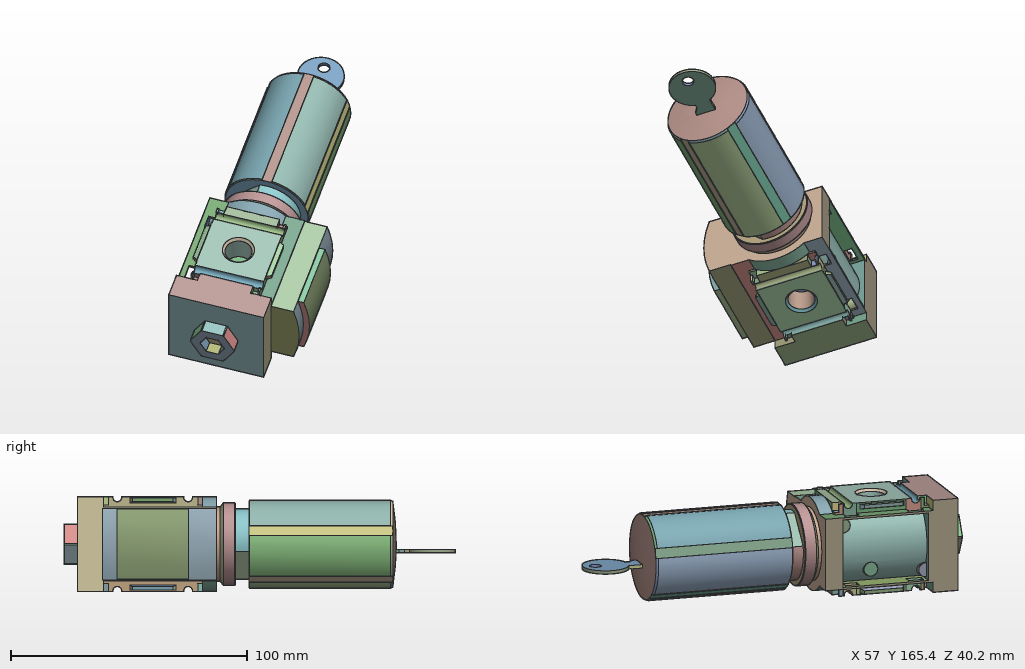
import cadquery as cq
import math


PLUG_LENGTH = 5.6
BLOCK_TOP = 16.7
PLATE_TOP = 58.5
BODY_TOP = 64.5
CONE_BOTTOM = 66.0
COLLAR_BOTTOM = 67.3
COLLAR_TOP = 72.5
KNOB_BOTTOM = 78.0
KNOB_TOP = 139.0
TOTAL_LENGTH = 165.4

BODY_WIDTH = 42.0
BODY_HEIGHT = 40.2
SLAB_HEIGHT = 31.3
PLATE_WIDTH = 30.5
HALF_WIDTH = BODY_WIDTH / 2
HALF_HEIGHT = BODY_HEIGHT / 2
HALF_SLAB = SLAB_HEIGHT / 2
HALF_PLATE = PLATE_WIDTH / 2

CHANNEL_WIDTH = 3.6
CHANNEL_DEPTH = 2.2
CHANNEL_PLACES = (22.5, 52.5)
PORT_PLACE = 37.5
PORT_DIAMETER = 11.4
PORT_MOUTH_DIAMETER = 13.5
PORT_DEPTH = 11.5
PORT_CHAMFER = (PORT_MOUTH_DIAMETER - PORT_DIAMETER) / 2

CORNER_LENGTH = 4.1
CORNER_WIDTH = 3.5
CORNER_DEPTH = 3.5
POST_WIDTH = 0.8
POST_LENGTH = 2.2

LIP_BASE_LENGTH = 19.5
LIP_TIP_LENGTH = 17.2
LIP_REACH = 2.2
LIP_DROP = 0.7
LIP_TIP_THICKNESS = 1.5
LIP_BASE_THICKNESS = 2.2

WINDOW_BOTTOM = 18.7
WINDOW_TOP = 56.7
WINDOW_HEIGHT = 29.5
BOWL_RADIUS = 18.7
PIN_DIAMETER = 6.1
PIN_FACE_X = -17.9
PIN_PLACES = ((55.5, 11.2), (43.3, -8.6), (19.0, -10.8))
LEDGE_SLOTS = ((20.2, 26.8), (48.8, 54.7))
SLOT_OUTER_X = -18.5
SLOT_RELIEF = 0.2

GAUGE_BOTTOM = 16.2
GAUGE_HEIGHT = 30.3
GAUGE_SHOULDER_X = 31.0
GAUGE_BULGE = 2.5
GLASS_LENGTH = 30.3
GLASS_HEIGHT = 29.6
GLASS_SHOULDER_X = 33.5
GLASS_CROWN_X = 36.0

PLUG_FLATS = 17.0
PLUG_ROUND_DIAMETER = 19.4
SOCKET_FLATS = 9.3
SOCKET_DEPTH = 5.0

BASE_DIAMETER = 31.6
COLLAR_DIAMETER = 35.0
COLLAR_CHAMFER = 0.3
NECK_DIAMETER = 30.1
NECK_FLATS = 25.1
NECK_FLAT_ANGLE = 45

KNOB_DIAMETER = 37.4
KNOB_RIM_CHAMFER = 0.5
KNOB_BOTTOM_BEVEL = 0.3
KNOB_TOP_BEVEL = 1.0
DOME_RISE = 1.5
GROOVE_COUNT = 5
GROOVE_WIDTH = 4.3
GROOVE_DEPTH = 0.5
KEY_Z = -3.0
KEY_THICKNESS = 1.5
KEY_BOW_RADIUS = 10.0
KEY_HOLE_DIAMETER = 5.0
KEY_HOLE_PLACE = 160.0
SHANK_LEFT = -4.1
SHANK_RIGHT = 2.6
SHANK_SHOULDER = 4.3
SHANK_NOTCH_TOP = 143.9
SHANK_NOTCH_BOTTOM = 141.5


def block(x_limits, y_limits, z_limits):
    """Box between the given pairs of limits."""
    size = [high - low for low, high in (x_limits, y_limits, z_limits)]
    corner = (x_limits[0], y_limits[0], z_limits[0])
    return cq.Workplane("XY").box(*size, centered=False).translate(corner)


def plane_at(y):
    """Workplane across the axis at station y, facing +Y, with local x along X and local y along -Z."""
    return cq.Workplane(cq.Plane(origin=(0, y, 0), xDir=(1, 0, 0), normal=(0, 1, 0)))


def disc(diameter, y_bottom, y_top):
    """Cylinder on the axis."""
    return plane_at(y_bottom).circle(diameter / 2).extrude(y_top - y_bottom)


def hexagon(flats, y_bottom, y_top):
    """Hexagonal prism on the axis with two corners on X."""
    corners = flats / math.cos(math.pi / 6)
    return plane_at(y_bottom).polygon(6, corners).extrude(y_top - y_bottom)


def four_corners(shape):
    """The shape and its mirror images across X = 0 and Z = 0."""
    pair = shape.union(shape.mirror("YZ"))
    return pair.union(pair.mirror("XY"))


def make_square_body():
    full_height = (-HALF_HEIGHT, HALF_HEIGHT)
    end_block = block((-HALF_WIDTH, HALF_WIDTH), (PLUG_LENGTH, BLOCK_TOP), full_height)
    slab = block((-HALF_WIDTH, HALF_WIDTH), (PLUG_LENGTH, BODY_TOP), (-HALF_SLAB, HALF_SLAB))
    plates = block((-HALF_PLATE, HALF_PLATE), (PLUG_LENGTH, PLATE_TOP), full_height)
    boss = disc(BODY_HEIGHT, PLATE_TOP, BODY_TOP)
    return end_block.union(slab).union(plates).union(boss)


def make_channels():
    """Round-bottomed channels across both port plates."""
    radius = CHANNEL_WIDTH / 2
    floor_z = HALF_HEIGHT - CHANNEL_DEPTH
    channels = cq.Workplane("YZ")
    for place in CHANNEL_PLACES:
        channel = (
            cq.Workplane("YZ", origin=(-HALF_PLATE, 0, 0))
            .moveTo(place - radius, HALF_HEIGHT)
            .lineTo(place - radius, floor_z + radius)
            .threePointArc(
                (place, floor_z),
                (place + radius, floor_z + radius),
            )
            .lineTo(place + radius, HALF_HEIGHT)
            .close()
            .extrude(PLATE_WIDTH)
        )
        channels = channels.union(channel).union(channel.mirror("XY"))
    return channels


def make_ports():
    """Chamfered blind port in each port plate."""
    port = (
        cq.Workplane("XY", origin=(0, PORT_PLACE, HALF_HEIGHT - PORT_DEPTH))
        .circle(PORT_DIAMETER / 2)
        .extrude(PORT_DEPTH)
    )
    mouth = cq.Solid.makeCone(
        PORT_DIAMETER / 2,
        PORT_MOUTH_DIAMETER / 2,
        PORT_CHAMFER,
        pnt=cq.Vector(0, PORT_PLACE, HALF_HEIGHT - PORT_CHAMFER),
    )
    port = port.union(cq.Workplane(mouth))
    return port.union(port.mirror("XY"))


def make_corner_recesses():
    """Recesses at the plate corners, each leaving a small post at its outer edge."""
    z_limits = (HALF_HEIGHT - CORNER_DEPTH, HALF_HEIGHT)
    x_limits = (HALF_PLATE - CORNER_WIDTH, HALF_PLATE)
    post_x = (HALF_PLATE - POST_WIDTH, HALF_PLATE)
    low_end = BLOCK_TOP + CORNER_LENGTH
    high_end = PLATE_TOP - CORNER_LENGTH
    low = block(x_limits, (BLOCK_TOP, low_end), z_limits).cut(
        block(post_x, (low_end - POST_LENGTH, low_end), z_limits)
    )
    high = block(x_limits, (high_end, PLATE_TOP), z_limits).cut(
        block(post_x, (high_end, high_end + POST_LENGTH), z_limits)
    )
    return four_corners(low.union(high))


def make_lips():
    """Lips standing out sideways from the port plates, bevelled at the ends and underneath."""
    tip_x = HALF_PLATE + LIP_REACH
    top = HALF_HEIGHT - LIP_DROP
    outline = (
        cq.Workplane("XY", origin=(0, PORT_PLACE, top - LIP_BASE_THICKNESS))
        .polyline([
            (HALF_PLATE, -LIP_BASE_LENGTH / 2),
            (tip_x, -LIP_TIP_LENGTH / 2),
            (tip_x, LIP_TIP_LENGTH / 2),
            (HALF_PLATE, LIP_BASE_LENGTH / 2),
        ])
        .close()
        .extrude(LIP_BASE_THICKNESS)
    )
    profile = (
        cq.Workplane("XZ", origin=(0, PORT_PLACE, 0))
        .polyline([
            (HALF_PLATE, top),
            (tip_x, top),
            (tip_x, top - LIP_TIP_THICKNESS),
            (HALF_PLATE, top - LIP_BASE_THICKNESS),
        ])
        .close()
        .extrude(LIP_BASE_LENGTH, both=True)
    )
    return four_corners(outline.intersect(profile))


def make_window():
    """Space inside the side window, around the bowl and the pins that stand out of it."""
    window = block(
        (-HALF_WIDTH, 0),
        (WINDOW_BOTTOM, WINDOW_TOP),
        (-WINDOW_HEIGHT / 2, WINDOW_HEIGHT / 2),
    )
    window = window.cut(disc(2 * BOWL_RADIUS, WINDOW_BOTTOM, WINDOW_TOP))
    for y, z in PIN_PLACES:
        pin = (
            cq.Workplane("YZ", origin=(PIN_FACE_X, y, z))
            .circle(PIN_DIAMETER / 2)
            .extrude(-PIN_FACE_X)
        )
        window = window.cut(pin)
    return window


def make_ledge_slots():
    """Slots through the ledges above and below the window."""
    slots = cq.Workplane("XY")
    for y_limits in LEDGE_SLOTS:
        slot = block(
            (SLOT_OUTER_X, -HALF_PLATE + SLOT_RELIEF),
            y_limits,
            (WINDOW_HEIGHT / 2, HALF_HEIGHT),
        )
        slots = slots.union(slot).union(slot.mirror("XY"))
    return slots


def domed_bar(height, shoulder_x, crown_x, y_limits):
    """Bar that starts at the side of the body and ends in a face arched about Y."""
    half = height / 2
    return (
        plane_at(y_limits[0])
        .moveTo(HALF_WIDTH, -half)
        .lineTo(shoulder_x, -half)
        .threePointArc((crown_x, 0), (shoulder_x, half))
        .lineTo(HALF_WIDTH, half)
        .close()
        .extrude(y_limits[1] - y_limits[0])
    )


def make_gauge():
    case_crown_x = GAUGE_SHOULDER_X + GAUGE_BULGE
    case = domed_bar(GAUGE_HEIGHT, GAUGE_SHOULDER_X, case_crown_x, (GAUGE_BOTTOM, BODY_TOP))
    glass_limits = (PORT_PLACE - GLASS_LENGTH / 2, PORT_PLACE + GLASS_LENGTH / 2)
    glass = domed_bar(GLASS_HEIGHT, GLASS_SHOULDER_X, GLASS_CROWN_X, glass_limits)
    return case.union(glass)


def make_plug():
    """Hexagon with its corners turned off."""
    rounding = disc(PLUG_ROUND_DIAMETER, 0, PLUG_LENGTH)
    return hexagon(PLUG_FLATS, 0, PLUG_LENGTH).intersect(rounding)


def make_neck():
    """Stepped neck with a collar and two wrench flats under the knob."""
    base = disc(BASE_DIAMETER, BODY_TOP, CONE_BOTTOM)
    cone = cq.Solid.makeCone(
        BASE_DIAMETER / 2,
        COLLAR_DIAMETER / 2,
        COLLAR_BOTTOM - CONE_BOTTOM,
        pnt=cq.Vector(0, CONE_BOTTOM, 0),
        dir=cq.Vector(0, 1, 0),
    )
    collar = disc(COLLAR_DIAMETER, COLLAR_BOTTOM, COLLAR_TOP).faces(">Y").chamfer(COLLAR_CHAMFER)
    flats = (
        plane_at(COLLAR_TOP)
        .rect(NECK_FLATS, NECK_DIAMETER)
        .extrude(KNOB_BOTTOM - COLLAR_TOP)
        .rotate((0, 0, 0), (0, 1, 0), NECK_FLAT_ANGLE)
    )
    neck = disc(NECK_DIAMETER, COLLAR_TOP, KNOB_BOTTOM).intersect(flats)
    return base.union(cq.Workplane(cone)).union(collar).union(neck)


def make_housing():
    housing = make_square_body()
    housing = housing.cut(make_channels()).cut(make_corner_recesses()).cut(make_ports())
    housing = housing.cut(make_window()).cut(make_ledge_slots())
    housing = housing.union(make_lips()).union(make_gauge())
    housing = housing.union(make_plug()).union(make_neck())
    return housing.cut(hexagon(SOCKET_FLATS, 0, SOCKET_DEPTH))


def make_key():
    """Flat key: a round bow with a hole, and a shank that runs into the dome of the knob."""
    bow_place = TOTAL_LENGTH - KEY_BOW_RADIUS
    bottom = KEY_Z - KEY_THICKNESS / 2
    sheet = cq.Workplane("XY", origin=(0, 0, bottom))
    bow = sheet.center(0, bow_place).circle(KEY_BOW_RADIUS).extrude(KEY_THICKNESS)
    shank = (
        sheet.polyline([
            (SHANK_LEFT, KNOB_TOP),
            (SHANK_SHOULDER, KNOB_TOP),
            (SHANK_SHOULDER, SHANK_NOTCH_BOTTOM),
            (SHANK_RIGHT, SHANK_NOTCH_TOP),
            (SHANK_RIGHT, bow_place),
            (SHANK_LEFT, bow_place),
        ])
        .close()
        .extrude(KEY_THICKNESS)
    )
    hole = sheet.center(0, KEY_HOLE_PLACE).circle(KEY_HOLE_DIAMETER / 2).extrude(KEY_THICKNESS)
    return bow.union(shank).cut(hole)


def make_knob():
    """Grooved cylinder with a domed end that holds the key."""
    radius = KNOB_DIAMETER / 2
    dome_radius = radius - KNOB_RIM_CHAMFER
    sphere_radius = (dome_radius**2 + DOME_RISE**2) / (2 * DOME_RISE)
    half_way = dome_radius / 2
    half_way_rise = DOME_RISE - sphere_radius + math.sqrt(sphere_radius**2 - half_way**2)
    knob = (
        cq.Workplane("XY")
        .moveTo(0, KNOB_BOTTOM)
        .lineTo(dome_radius, KNOB_BOTTOM)
        .lineTo(radius, KNOB_BOTTOM + KNOB_BOTTOM_BEVEL)
        .lineTo(radius, KNOB_TOP - KNOB_TOP_BEVEL)
        .lineTo(dome_radius, KNOB_TOP)
        .threePointArc((half_way, KNOB_TOP + half_way_rise), (0, KNOB_TOP + DOME_RISE))
        .close()
        .revolve(360, (0, 0, 0), (0, 1, 0))
    )
    groove = block(
        (-GROOVE_WIDTH / 2, GROOVE_WIDTH / 2),
        (KNOB_BOTTOM, KNOB_TOP + DOME_RISE),
        (radius - GROOVE_DEPTH, radius),
    )
    for index in range(GROOVE_COUNT):
        knob = knob.cut(groove.rotate((0, 0, 0), (0, 1, 0), index * 360 / GROOVE_COUNT))
    return knob.union(make_key())


housing = make_housing()
knob = make_knob()

result = cq.Compound.makeCompound([housing.val(), knob.val()])